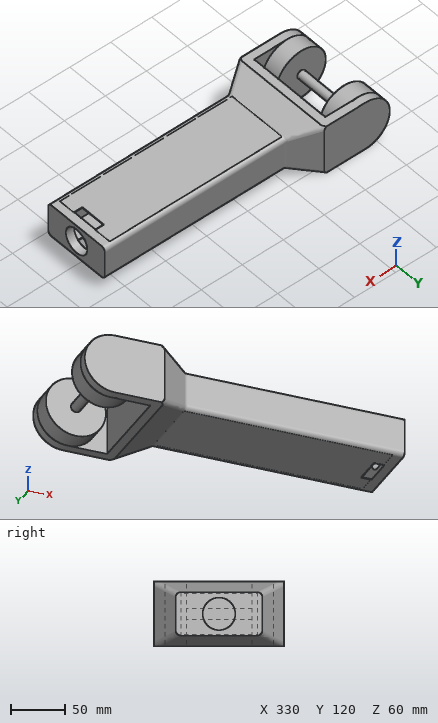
import cadquery as cq

length = 330.0
unit = length / 33

fork_width = 12 * unit
fork_height = 6 * unit
arm_thickness = unit
wheel_radius = fork_height / 2
axle_x = wheel_radius
bridge_front_x = 7 * unit
bridge_back_x = 8 * unit
gap_width = fork_width - 2 * arm_thickness

handle_start_x = 11 * unit
handle_width = 8 * unit
handle_height = 4 * unit
edge_radius = unit / 2

top_wall = 1.0
side_wall = edge_radius
end_wall = unit
cavity_length = length - end_wall - handle_start_x

slot_length = unit
slot_width = 3 * unit
slot_center_x = length - 1.5 * unit
end_bore_radius = 1.5 * unit

select_margin = 0.3

wheel_thickness = 2 * unit
axle_radius = unit / 2


def make_fork_head():
    """Two round-nosed arms joined by a bridge."""
    block = (
        cq.Workplane("XZ")
        .moveTo(bridge_back_x, -wheel_radius)
        .lineTo(axle_x, -wheel_radius)
        .threePointArc((0, 0), (axle_x, wheel_radius))
        .lineTo(bridge_back_x, wheel_radius)
        .close()
        .extrude(fork_width / 2, both=True)
    )
    gap = cq.Workplane("XY").box(
        bridge_front_x, gap_width, fork_height, centered=(False, True, True)
    )
    return block.cut(gap)


def make_taper():
    """Pyramid section that narrows from the fork head to the handle."""
    return (
        cq.Workplane("YZ", origin=(bridge_back_x, 0, 0))
        .rect(fork_width, fork_height)
        .workplane(offset=handle_start_x - bridge_back_x)
        .rect(handle_width, handle_height)
        .loft(ruled=True)
    )


def make_bar(start_x, width, height, bar_length):
    """Rectangular bar along X."""
    return (
        cq.Workplane("YZ", origin=(start_x, 0, 0))
        .rect(width, height)
        .extrude(bar_length)
    )


def make_housing():
    """Fork head, taper and hollow handle in one piece."""
    bar = make_bar(handle_start_x, handle_width, handle_height, length - handle_start_x)
    body = make_fork_head().union(make_taper()).union(bar)

    back_region = cq.selectors.BoxSelector(
        (bridge_back_x + select_margin, -fork_width, -fork_height),
        (length - select_margin, fork_width, fork_height),
    )
    body = body.edges(back_region).fillet(edge_radius)

    cavity_width = handle_width - 2 * side_wall
    cavity_height = handle_height - 2 * top_wall
    cavity = make_bar(handle_start_x, cavity_width, cavity_height, cavity_length)
    slot = cq.Workplane("XY", origin=(slot_center_x, 0, 0)).box(slot_length, slot_width, handle_height)
    end_bore = (
        cq.Workplane("YZ", origin=(length - end_wall, 0, 0))
        .circle(end_bore_radius)
        .extrude(end_wall)
    )
    return body.cut(cavity).cut(slot).cut(end_bore)


def make_wheel_set():
    """Two wheels on one axle, fitting between the fork arms."""
    wheel_set = (
        cq.Workplane("XZ", origin=(axle_x, gap_width / 2, 0))
        .circle(axle_radius)
        .extrude(gap_width)
    )
    wheel_offset = (gap_width - wheel_thickness) / 2
    for side in (-1, 1):
        wheel_back_y = side * wheel_offset + wheel_thickness / 2
        wheel = (
            cq.Workplane("XZ", origin=(axle_x, wheel_back_y, 0))
            .circle(wheel_radius)
            .extrude(wheel_thickness)
        )
        wheel_set = wheel_set.union(wheel)
    return wheel_set


housing = make_housing()
wheel_set = make_wheel_set()
result = cq.Compound.makeCompound([housing.val(), wheel_set.val()])